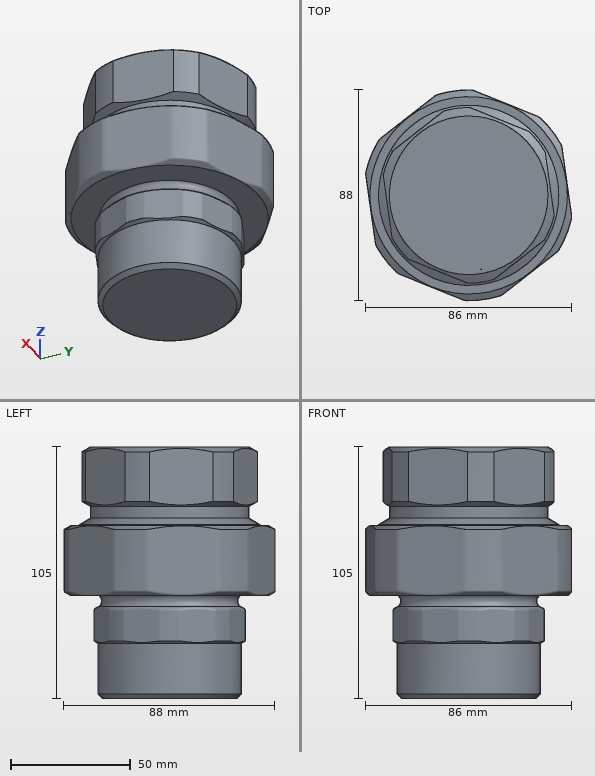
import cadquery as cq
import math

pipe_top = 23.1
collar_top = 38.4
nut_bottom = 43.0
nut_top = 72.3
shoulder_top = 75.3
cap_bottom = 80.3
total_height = 105.0

pipe_radius = 29.9
pipe_chamfer = 2.0
neck_radius = 33.1
shoulder_radius = 37.6
shoulder_rim = 0.3
groove_radius = 28.5
groove_end_radius = 29.4

hex_sides = 6
hex_angle = 8.0
cap_flat = 34.1
cap_corner = 36.7
nut_flat = 41.4
nut_corner = 44.0
nut_rim_radius = 41.2
nut_edge_fillet = 5.3
nut_lower_fillet = 1.0

collar_sides = 8
collar_angle = 22.5
collar_flat = 30.6
collar_corner = 31.6
collar_rim_radius = 29.7
collar_edge_fillet = 1.6
collar_upper_fillet = 1.4

chamfer_slope = 30.0


def revolve_profile(profile):
    """Turn a half profile drawn as (radius, height) about the Z axis."""
    return profile.close().revolve(360, (0, 0, 0), (0, 1, 0))


def wrench_body(sides, angle, flat, corner, bottom, top, edge_fillet=0.0):
    """Polygon prism with its corners turned down to a round."""
    height = top - bottom
    circumscribed_diameter = 2 * flat / math.cos(math.pi / sides)
    first_vertex = angle + 180 / sides
    prism = (
        cq.Workplane("XY", origin=(0, 0, bottom))
        .polygon(sides, circumscribed_diameter)
        .extrude(height)
        .rotate((0, 0, 0), (0, 0, 1), first_vertex)
    )
    round_bar = cq.Workplane("XY", origin=(0, 0, bottom)).circle(corner).extrude(height)
    body = prism.intersect(round_bar)
    if edge_fillet > 0:
        body = body.edges("|Z").fillet(edge_fillet)
    return body


def chamfer_ends(body, corner, bottom, top, lower_rim, upper_rim):
    """Turn conical chamfers on both ends, leaving end faces of the rim radii."""
    drop_per_radius = math.tan(math.radians(chamfer_slope))
    lower_drop = (corner - lower_rim) * drop_per_radius
    upper_drop = (corner - upper_rim) * drop_per_radius
    envelope = revolve_profile(
        cq.Workplane("XZ")
        .moveTo(0, bottom)
        .lineTo(lower_rim, bottom)
        .lineTo(corner, bottom + lower_drop)
        .lineTo(corner, top - upper_drop)
        .lineTo(upper_rim, top)
        .lineTo(0, top)
    )
    return body.intersect(envelope)


def edges_between(bottom, top, reach):
    """Select the edges whose centres lie between two heights."""
    return cq.selectors.BoxSelector((-reach, -reach, bottom), (reach, reach, top))


def end_face_rim(direction):
    """Select the rim circle of the end face in the given direction."""
    return cq.selectors.StringSyntaxSelector(direction)


def make_core():
    """Pipe end, waisted groove, shoulder cone and neck, turned as one piece."""
    groove_middle = (collar_top + nut_bottom) / 2
    rim_top = nut_top + shoulder_rim
    return revolve_profile(
        cq.Workplane("XZ")
        .moveTo(0, 0)
        .lineTo(pipe_radius - pipe_chamfer, 0)
        .lineTo(pipe_radius, pipe_chamfer)
        .lineTo(pipe_radius, pipe_top)
        .lineTo(groove_end_radius, pipe_top)
        .lineTo(groove_end_radius, collar_top)
        .threePointArc((groove_radius, groove_middle), (groove_end_radius, nut_bottom))
        .lineTo(shoulder_radius, nut_bottom)
        .lineTo(shoulder_radius, rim_top)
        .lineTo(neck_radius, shoulder_top)
        .lineTo(neck_radius, cap_bottom)
        .lineTo(0, cap_bottom)
    )


def make_collar():
    body = wrench_body(
        collar_sides, collar_angle, collar_flat, collar_corner,
        pipe_top, collar_top, collar_edge_fillet,
    )
    body = chamfer_ends(
        body, collar_corner, pipe_top, collar_top, pipe_radius, collar_rim_radius
    )
    middle = (pipe_top + collar_top) / 2
    upper_edges = edges_between(middle + collar_upper_fillet, collar_top, collar_corner)
    return body.edges(upper_edges - end_face_rim(">Z")).fillet(collar_upper_fillet)


def make_nut():
    body = wrench_body(
        hex_sides, hex_angle, nut_flat, nut_corner, nut_bottom, nut_top, nut_edge_fillet
    )
    body = chamfer_ends(body, nut_corner, nut_bottom, nut_top, nut_rim_radius, nut_rim_radius)
    middle = (nut_bottom + nut_top) / 2
    lower_edges = edges_between(nut_bottom, middle - nut_lower_fillet, nut_corner)
    return body.edges(lower_edges - end_face_rim("<Z")).fillet(nut_lower_fillet)


def make_cap():
    body = wrench_body(hex_sides, hex_angle, cap_flat, cap_corner, cap_bottom, total_height)
    return chamfer_ends(body, cap_corner, cap_bottom, total_height, neck_radius, neck_radius)


result = make_core().union(make_collar()).union(make_nut()).union(make_cap())